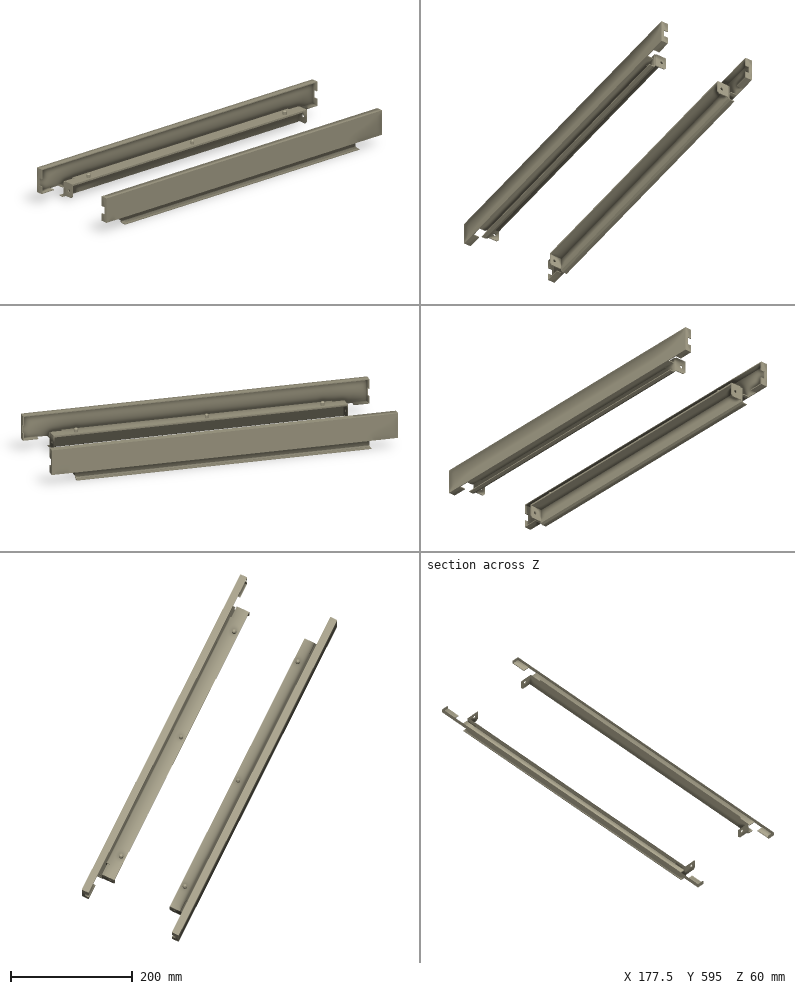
import cadquery as cq

LENGTH = 595.0
WIDTH = 177.5
HEIGHT = 60.0
SHEET = 1.5

CHANNEL_DEPTH = 12.5
CHANNEL_HEIGHT = 43.5
UPPER_TAB_HEIGHT = 17.0
NOTCH_OFFSET = 5.5

SHELF_LENGTH = 506.0
SHELF_DROP = 30.5
SHELF_REACH = 38.0
PLATE_INSET = 19.0
RELIEF_LENGTH = 21.0
BEND_RADIUS = 2.5
FLOOR_STUB_LENGTH = 26.0

SKIRT_GAP = 1.0
LIP_INSET = 5.5
LIP_CREASE_INSET = 12.5
LIP_FALL = 2.0

FLANGE_HEIGHT = 24.0
FLANGE_GAP = 0.5
FLANGE_CLIP = 3.5
HOLE_DIAMETER = 5.5
HOLE_INSET = 30.0
HOLE_Z = 16.0

PIN_INSET = 30.5
PIN_HEIGHT = 7.0
PIN_CHAMFER = 2.0
END_PIN_DIAMETER = 7.0
MIDDLE_PIN_DIAMETER = 6.0
END_PIN_Y = 212.0
MIDDLE_PIN_Y = 12.5

OUTER_X = -WIDTH / 2
CHANNEL_X = OUTER_X + CHANNEL_DEPTH
RISER_X = CHANNEL_X + SHEET
PLATE_X = OUTER_X + PLATE_INSET
SKIRT_X = RISER_X + SKIRT_GAP
SHELF_END_X = OUTER_X + SHELF_REACH
FLOOR_Z = HEIGHT - CHANNEL_HEIGHT
SHELF_Z = HEIGHT - SHELF_DROP
SHELF_BOTTOM_Z = SHELF_Z - SHEET
RISER_LENGTH = SHELF_LENGTH - 2 * RELIEF_LENGTH


def block(x_range, y_range, z_range):
    """Box that fills the given ranges along X, Y and Z."""
    starts, ends = zip(x_range, y_range, z_range)
    size = [end - start for start, end in zip(starts, ends)]
    return cq.Workplane("XY").box(*size, centered=False).translate(starts)


def centred(length):
    """Range of the given length, centred on zero."""
    return (-length / 2, length / 2)


def extruded_section(points, length):
    """XZ outline extruded along Y, centred on Y = 0."""
    return cq.Workplane("XZ").polyline(points).close().extrude(length / 2, both=True)


def make_channel():
    """Web and top flange, end tabs, and a floor cut through beyond the shelf ends."""
    depth = (OUTER_X, CHANNEL_X)
    rise = (FLOOR_Z, HEIGHT)
    channel = block((OUTER_X, OUTER_X + SHEET), centred(LENGTH), rise)
    channel = channel.union(block(depth, centred(LENGTH), (HEIGHT - SHEET, HEIGHT)))
    tab_notch = block(
        (OUTER_X + NOTCH_OFFSET, CHANNEL_X), centred(LENGTH), (SHELF_Z, HEIGHT - UPPER_TAB_HEIGHT)
    )
    floor_rise = (FLOOR_Z, FLOOR_Z + SHEET)
    tab = block(depth, (-LENGTH / 2, -LENGTH / 2 + SHEET), rise).cut(tab_notch)
    stub = block(depth, (-LENGTH / 2, -LENGTH / 2 + FLOOR_STUB_LENGTH), floor_rise)
    for end in (tab, stub):
        channel = channel.union(end).union(end.mirror("XZ"))
    return channel.union(block(depth, centred(SHELF_LENGTH), floor_rise))


def make_shelf():
    """Riser and flat shelf, whose outer corners are notched."""
    shelf = block((CHANNEL_X, RISER_X), centred(RISER_LENGTH), (FLOOR_Z, SHELF_Z))
    shelf = shelf.union(
        block((CHANNEL_X, SHELF_END_X), centred(RISER_LENGTH), (SHELF_BOTTOM_Z, SHELF_Z))
    )
    shelf = shelf.edges("|Y and <X and >Z").fillet(BEND_RADIUS)
    plate_x = (PLATE_X, SHELF_END_X)
    return shelf.union(block(plate_x, centred(SHELF_LENGTH), (SHELF_BOTTOM_Z, SHELF_Z)))


def make_rail():
    """Channel and shelf, folded from one sheet."""
    return make_channel().union(make_shelf())


def make_end_flange():
    """Drilled flange that hangs from the -Y end of the bracket top."""
    flange = (
        block(
            (SKIRT_X + SHEET + FLANGE_GAP, SHELF_END_X),
            (-SHELF_LENGTH / 2, -SHELF_LENGTH / 2 + SHEET),
            (SHELF_BOTTOM_Z - FLANGE_HEIGHT, SHELF_BOTTOM_Z),
        )
        .edges("|Y and >X and <Z")
        .chamfer(FLANGE_CLIP)
    )
    hole = (
        cq.Workplane("XZ")
        .center(OUTER_X + HOLE_INSET, HOLE_Z)
        .circle(HOLE_DIAMETER / 2)
        .extrude(SHELF_LENGTH / 2)
    )
    return flange.cut(hole)


def make_bracket():
    """Top under the shelf, upright skirt, sloping lip with a flat edge, and end flanges."""
    lip_x = OUTER_X + LIP_INSET
    crease_x = OUTER_X + LIP_CREASE_INSET
    inner_x = SKIRT_X + SHEET
    top_underside_z = SHELF_BOTTOM_Z - SHEET
    bracket = extruded_section(
        [
            (SKIRT_X, SHELF_BOTTOM_Z),
            (SHELF_END_X, SHELF_BOTTOM_Z),
            (SHELF_END_X, top_underside_z),
            (inner_x, top_underside_z),
            (inner_x, LIP_FALL),
            (crease_x, 0),
            (lip_x, 0),
            (lip_x, SHEET),
            (crease_x, SHEET),
            (SKIRT_X, LIP_FALL + SHEET),
        ],
        SHELF_LENGTH,
    )
    flange = make_end_flange()
    return bracket.union(flange).union(flange.mirror("XZ"))


def make_pin(diameter, y):
    """Chamfered pin standing on the shelf."""
    return (
        cq.Workplane("XY", origin=(OUTER_X + PIN_INSET, y, SHELF_Z))
        .circle(diameter / 2)
        .extrude(PIN_HEIGHT)
        .faces(">Z")
        .edges()
        .chamfer(PIN_CHAMFER)
    )


PINS = [
    (END_PIN_DIAMETER, -END_PIN_Y),
    (MIDDLE_PIN_DIAMETER, MIDDLE_PIN_Y),
    (END_PIN_DIAMETER, END_PIN_Y),
]

bodies = []
for turn in (0, 180):
    for body in [make_rail(), make_bracket()] + [make_pin(*pin) for pin in PINS]:
        bodies.append(body.rotate((0, 0, 0), (0, 0, 1), turn).val())

result = cq.Compound.makeCompound(bodies)